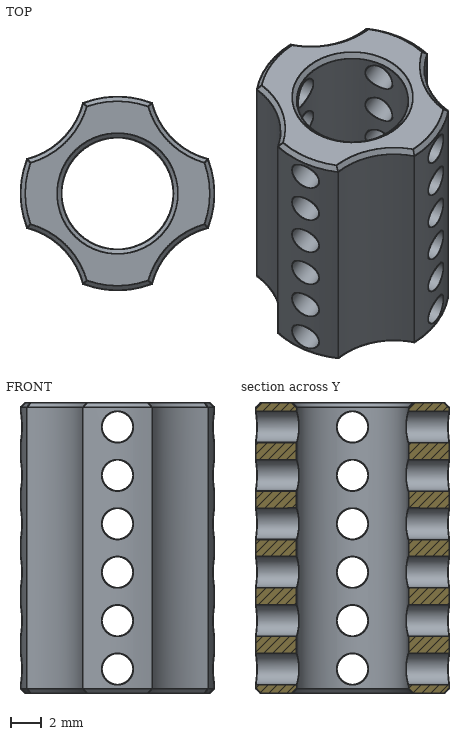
import cadquery as cq

length = 18.75
outer_diameter = 12.5
bore_diameter = 7.2
edge_chamfer = 0.3

flute_count = 4
flute_radius = 5.0
flute_floor_radius = 5.0
flute_axis_radius = flute_floor_radius + flute_radius
first_flute_angle = 45

holes_per_row = 6
hole_diameter = 2.0
hole_pitch = length / holes_per_row
first_hole_height = hole_pitch / 2


def fluted_blank():
    """Solid cylinder with the flutes cut along its whole length."""
    flutes = (
        cq.Workplane("XY")
        .polarArray(flute_axis_radius, first_flute_angle, 360, flute_count)
        .circle(flute_radius)
        .extrude(length)
    )
    return cq.Workplane("XY").circle(outer_diameter / 2).extrude(length).cut(flutes)


def cross_holes(plane):
    """Row of drills along Z, each passing through both sides of the sleeve."""
    centers = [(0, first_hole_height + i * hole_pitch) for i in range(holes_per_row)]
    return (
        cq.Workplane(plane)
        .pushPoints(centers)
        .circle(hole_diameter / 2)
        .extrude(outer_diameter, both=True)
    )


bore = cq.Workplane("XY").circle(bore_diameter / 2).extrude(length)
sleeve = fluted_blank().cut(bore)

sleeve = sleeve.faces("<Z or >Z").edges().chamfer(edge_chamfer)

for drilling_plane in ("XZ", "YZ"):
    sleeve = sleeve.cut(cross_holes(drilling_plane))

result = sleeve